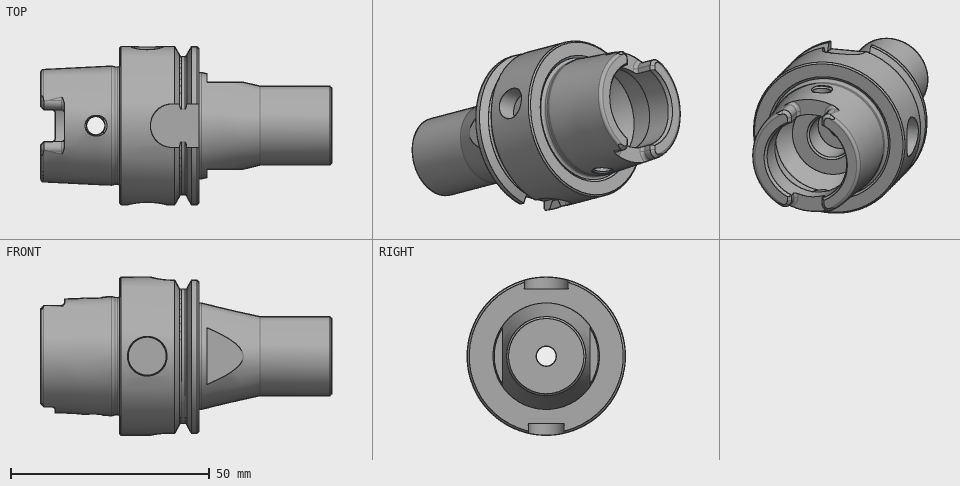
import cadquery as cq
import math


taper_front = -20.0
flange_face = -0.1
flange_end = 20.0
shank_end = 53.5

taper_end = -2.1
taper_end_radius = 15.08
taper_slope = 0.05
taper_front_radius = taper_end_radius + taper_slope * (taper_front - taper_end)
taper_rounding = 0.8

relief_radius = 29.71 / 2
relief_start = -1.2
undercut_arc_radius = 0.8
undercut_depth = 0.35
undercut_outer_radius = 16.2

flange_radius = 20.0
flange_front_chamfer = 0.4
flange_rear_chamfer = 0.55
groove_center = 15.95
groove_root_radius = 17.5
groove_root_half_width = 0.95
groove_root_fillet = 0.5
groove_mouth_half_width = 2.12
groove_wall_angle = 30.0
groove_flank_inner_radius = flange_radius - (
    groove_mouth_half_width - groove_root_half_width
) / math.tan(math.radians(groove_wall_angle))

collar_radius = 13.45
collar_end = 20.65
neck_end = 35.4
shank_radius = 10.0
shank_chamfer = 0.5

bore_radius = 21.0 / 2
bore_chamfer = 0.5
bore_chamfer_length = 1.0
bore_end = -12.2
cavity_radius = 25.5 / 2
clamping_shoulder_angle = 60.0
cavity_shoulder_end = bore_end + (cavity_radius - bore_radius) / math.tan(
    math.radians(clamping_shoulder_angle)
)
cavity_wall_end = -4.2
cavity_floor_radius = 9.86
cavity_end_cone_angle = 30.0
cavity_floor = cavity_wall_end + (cavity_radius - cavity_floor_radius) / math.tan(
    math.radians(cavity_end_cone_angle)
)
counterbore_radius = 11.0 / 2
counterbore_chamfer = 0.5
counterbore_depth = 8.0
through_hole_radius = 5.0 / 2

keyway_half_width = 4.02
keyway_flare_start = 11.0
keyway_flare_radius = 1.85
keyway_ledge_slope = 17.0
keyway_bottom_fillet = 0.85
keyway_edge_chamfer = 0.85
upper_keyway_end = -13.95
lower_keyway_end = -16.36

slot_floor_height = 17.0
slot_front = 7.7
upper_slot_width = 11.0
lower_slot_width = 9.0

clamp_hole_x = -6.1
clamp_hole_diameter = 4.6
clamp_hole_chamfer = 0.55
side_hole_x = 6.9
chip_hole_diameter = 10.0
chip_hole_floor_chamfer = 0.2
chip_hole_depth = 5.0
balance_hole_diameter = 8.0
balance_hole_depth = 5.0
balance_hole_tilt = 5.0

flat_front = 22.0
flat_half_width = 11.0


def make_body():
    """Solid of revolution: taper, relief, flange with groove, neck and shank."""
    undercut_bottom = flange_face + undercut_depth
    arc_start_x = undercut_bottom - undercut_arc_radius
    arc_center_y = relief_radius + undercut_arc_radius
    arc_reach = undercut_arc_radius * math.sqrt(0.5)
    root_left = groove_center - groove_root_half_width
    root_right = groove_center + groove_root_half_width
    fillet = groove_root_fillet
    profile = (
        cq.Workplane("XY")
        .moveTo(taper_front, 0)
        .lineTo(taper_front, taper_front_radius)
        .lineTo(taper_end, taper_end_radius)
        .lineTo(relief_start, relief_radius)
        .lineTo(arc_start_x, relief_radius)
        .threePointArc(
            (arc_start_x + arc_reach, arc_center_y - arc_reach),
            (undercut_bottom, arc_center_y),
        )
        .lineTo(flange_face, undercut_outer_radius)
        .lineTo(flange_face, flange_radius - flange_front_chamfer)
        .lineTo(flange_face + flange_front_chamfer, flange_radius)
        .lineTo(groove_center - groove_mouth_half_width, flange_radius)
        .lineTo(root_left, groove_flank_inner_radius)
        .lineTo(root_left, groove_root_radius + fillet)
        .radiusArc((root_left + fillet, groove_root_radius), -fillet)
        .lineTo(root_right - fillet, groove_root_radius)
        .radiusArc((root_right, groove_root_radius + fillet), -fillet)
        .lineTo(root_right, groove_flank_inner_radius)
        .lineTo(groove_center + groove_mouth_half_width, flange_radius)
        .lineTo(flange_end - flange_rear_chamfer, flange_radius)
        .lineTo(flange_end, flange_radius - flange_rear_chamfer)
        .lineTo(flange_end, collar_radius)
        .lineTo(collar_end, collar_radius)
        .lineTo(neck_end, shank_radius)
        .lineTo(shank_end - shank_chamfer, shank_radius)
        .lineTo(shank_end, shank_radius - shank_chamfer)
        .lineTo(shank_end, 0)
        .close()
    )
    body = profile.revolve(360, (0, 0, 0), (1, 0, 0))
    return body.faces("<X").edges().fillet(taper_rounding)


def make_interior():
    """Revolved cutter: mouth, clamping cavity, counterbore and central hole."""
    counterbore_end = cavity_floor + counterbore_depth
    return (
        cq.Workplane("XY")
        .moveTo(taper_front, 0)
        .lineTo(taper_front, bore_radius + bore_chamfer)
        .lineTo(taper_front + bore_chamfer_length, bore_radius)
        .lineTo(bore_end, bore_radius)
        .lineTo(cavity_shoulder_end, cavity_radius)
        .lineTo(cavity_wall_end, cavity_radius)
        .lineTo(cavity_floor, cavity_floor_radius)
        .lineTo(cavity_floor, counterbore_radius + counterbore_chamfer)
        .lineTo(cavity_floor + counterbore_chamfer, counterbore_radius)
        .lineTo(counterbore_end, counterbore_radius)
        .lineTo(counterbore_end, through_hole_radius)
        .lineTo(shank_end, through_hole_radius)
        .lineTo(shank_end, 0)
        .close()
        .revolve(360, (0, 0, 0), (1, 0, 0))
    )


def add_keyway_outline(plane, growth):
    """Straight-walled keyway that flares into sideways-falling ledges, grown outwards."""
    slope = math.radians(keyway_ledge_slope)
    radius = keyway_flare_radius - growth
    wall = keyway_half_width + growth
    flare_center = keyway_half_width + keyway_flare_radius
    ledge_inner = flare_center + radius * math.sin(slope)
    ledge_inner_height = keyway_flare_start + radius * math.cos(slope)
    ledge_outer = taper_end_radius
    ledge_outer_height = ledge_inner_height - (ledge_outer - ledge_inner) * math.tan(slope)
    base = bore_radius / 2
    return (
        plane.moveTo(-wall, base)
        .lineTo(wall, base)
        .lineTo(wall, keyway_flare_start)
        .radiusArc((ledge_inner, ledge_inner_height), radius)
        .lineTo(ledge_outer, ledge_outer_height)
        .lineTo(ledge_outer, flange_radius)
        .lineTo(-ledge_outer, flange_radius)
        .lineTo(-ledge_outer, ledge_outer_height)
        .lineTo(-ledge_inner, ledge_inner_height)
        .radiusArc((-wall, keyway_flare_start), radius)
        .close()
    )


def make_keyway(end_x):
    """Upward keyway cutter with a filleted bottom and a chamfered front edge."""
    front_plane = cq.Workplane("YZ", origin=(taper_front, 0, 0))
    channel = add_keyway_outline(front_plane, 0).extrude(end_x - taper_front)
    channel = channel.faces(">X").edges().fillet(keyway_bottom_fillet)
    chamfer = add_keyway_outline(front_plane, keyway_edge_chamfer)
    chamfer = add_keyway_outline(chamfer.workplane(offset=keyway_edge_chamfer), 0).loft(ruled=True)
    return channel.union(chamfer)


def make_flange_slot(width):
    """Upward round-ended slot cutter, open through the rear of the flange."""
    center_x = slot_front + width / 2
    floor_plane = cq.Workplane("XY", origin=(0, 0, slot_floor_height))
    height = flange_radius - slot_floor_height
    round_end = floor_plane.center(center_x, 0).circle(width / 2).extrude(height)
    length = flange_end - center_x
    straight = floor_plane.center(center_x + length / 2, 0).rect(length, width).extrude(height)
    return round_end.union(straight)


def turn_down(cutter):
    """Turn an upward-facing cutter half a turn about the part axis."""
    return cutter.rotate((0, 0, 0), (1, 0, 0), 180)


def make_clamp_hole():
    """Radial hole through both walls of the taper with chamfered mouths."""
    radius = clamp_hole_diameter / 2
    surface = taper_end_radius + taper_slope * (clamp_hole_x - taper_end)
    hole = (
        cq.Workplane("XY", origin=(clamp_hole_x, 0, 0))
        .circle(radius)
        .extrude(taper_end_radius, both=True)
    )
    mouth = (
        cq.Workplane("XZ", origin=(clamp_hole_x, 0, 0))
        .moveTo(0, surface - clamp_hole_chamfer)
        .lineTo(radius, surface - clamp_hole_chamfer)
        .lineTo(radius + clamp_hole_chamfer, surface)
        .lineTo(0, surface)
        .close()
        .revolve(360, (0, 0, 0), (0, 1, 0))
    )
    return hole.union(mouth).union(turn_down(mouth))


def make_chip_hole():
    """Blind hole in the -Y side of the flange with a chamfered floor edge."""
    return (
        cq.Workplane("XZ", origin=(side_hole_x, -(flange_radius - chip_hole_depth), 0))
        .circle(chip_hole_diameter / 2)
        .extrude(chip_hole_depth)
        .faces(">Y")
        .edges()
        .chamfer(chip_hole_floor_chamfer)
    )


def make_balance_hole():
    """Blind radial hole in the +Y side of the flange, turned slightly upwards."""
    return (
        cq.Workplane("XZ", origin=(side_hole_x, flange_radius, 0))
        .circle(balance_hole_diameter / 2)
        .extrude(balance_hole_depth)
        .rotate((0, 0, 0), (1, 0, 0), balance_hole_tilt)
    )


def make_wrench_flat(side):
    """Block that cuts one flat on the neck; side is +1 or -1 along Y."""
    length = neck_end - flat_front
    depth = flange_radius - flat_half_width
    center = (flat_front + length / 2, side * (flat_half_width + depth / 2), 0)
    return cq.Workplane("XY", origin=center).box(length, depth, 2 * flange_radius)


result = make_body().cut(make_interior())
result = result.cut(make_keyway(upper_keyway_end))
result = result.cut(turn_down(make_keyway(lower_keyway_end)))
result = result.cut(make_flange_slot(upper_slot_width))
result = result.cut(turn_down(make_flange_slot(lower_slot_width)))
result = result.cut(make_clamp_hole())
result = result.cut(make_chip_hole())
result = result.cut(make_balance_hole())
for flat_side in (1, -1):
    result = result.cut(make_wrench_flat(flat_side))